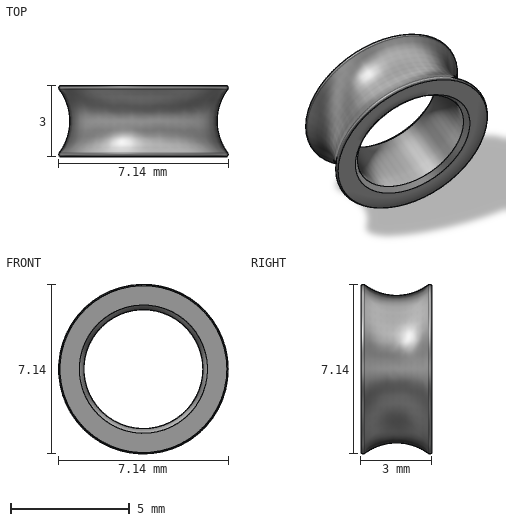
import cadquery as cq
import math

outer_radius = 3.57
width = 3.0
bore_radius = 2.5
bore_chamfer = 0.2

groove_root_radius = 3.105
rim_round = 0.1

half_width = width / 2
chamfer_start = half_width - bore_chamfer
rim_center_radius = outer_radius - rim_round
rim_center_y = half_width - rim_round

bevel_start_offset = rim_round * math.sin(math.radians(45))
bevel_start_radius = rim_center_radius + bevel_start_offset
bevel_start_y = rim_center_y + bevel_start_offset
face_radius = bevel_start_radius - (half_width - bevel_start_y)

rim_rise = rim_center_radius - groove_root_radius
groove_arc_radius = (rim_center_y**2 + rim_rise**2 - rim_round**2) / (2 * (rim_round + rim_rise))
groove_center_radius = groove_root_radius + groove_arc_radius

tangent_share = groove_arc_radius / (groove_arc_radius + rim_round)
tangent_radius = groove_center_radius + tangent_share * (rim_center_radius - groove_center_radius)
tangent_y = tangent_share * rim_center_y

section = (
    cq.Workplane("XY")
    .moveTo(bore_radius, -chamfer_start)
    .lineTo(bore_radius + bore_chamfer, -half_width)
    .lineTo(face_radius, -half_width)
    .lineTo(bevel_start_radius, -bevel_start_y)
    .threePointArc((outer_radius, -rim_center_y), (tangent_radius, -tangent_y))
    .threePointArc((groove_root_radius, 0), (tangent_radius, tangent_y))
    .threePointArc((outer_radius, rim_center_y), (bevel_start_radius, bevel_start_y))
    .lineTo(face_radius, half_width)
    .lineTo(bore_radius + bore_chamfer, half_width)
    .lineTo(bore_radius, chamfer_start)
    .close()
)

result = section.revolve(360, (0, 0, 0), (0, 1, 0))